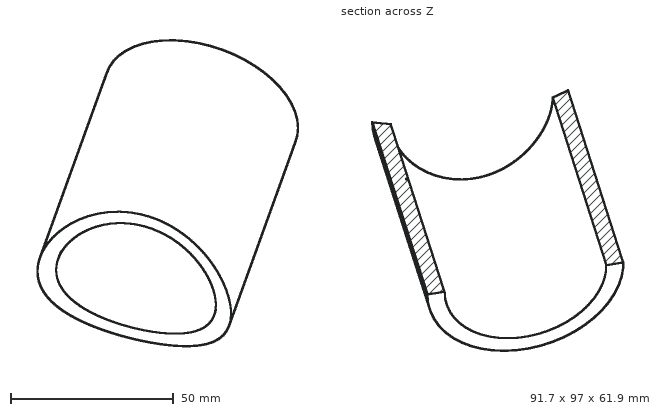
import cadquery as cq
import math

outer_diameter = 61.9
inner_diameter = 51.0
overall_y = 97
axis_turn = 30

saddle_radius = 79.5

outer_radius = outer_diameter / 2
turn = math.radians(axis_turn)
side_length = (overall_y - outer_diameter * math.sin(turn)) / math.cos(turn)
tip_distance = math.sqrt(saddle_radius**2 - outer_radius**2)
flat_end = tip_distance + side_length


def make_tube():
    """Straight tube along Y, from the saddle axis to the flat end."""
    return (
        cq.Workplane("XZ")
        .circle(outer_radius)
        .circle(inner_diameter / 2)
        .extrude(-flat_end)
    )


def make_saddle_cutter():
    """Upright cylinder about the Z axis, taller than the tube."""
    return cq.Workplane("XY").circle(saddle_radius).extrude(outer_diameter, both=True)


coped_tube = make_tube().cut(make_saddle_cutter())
centered_tube = coped_tube.translate((0, -(tip_distance + flat_end) / 2, 0))
result = centered_tube.rotate((0, 0, 0), (0, 0, 1), axis_turn)